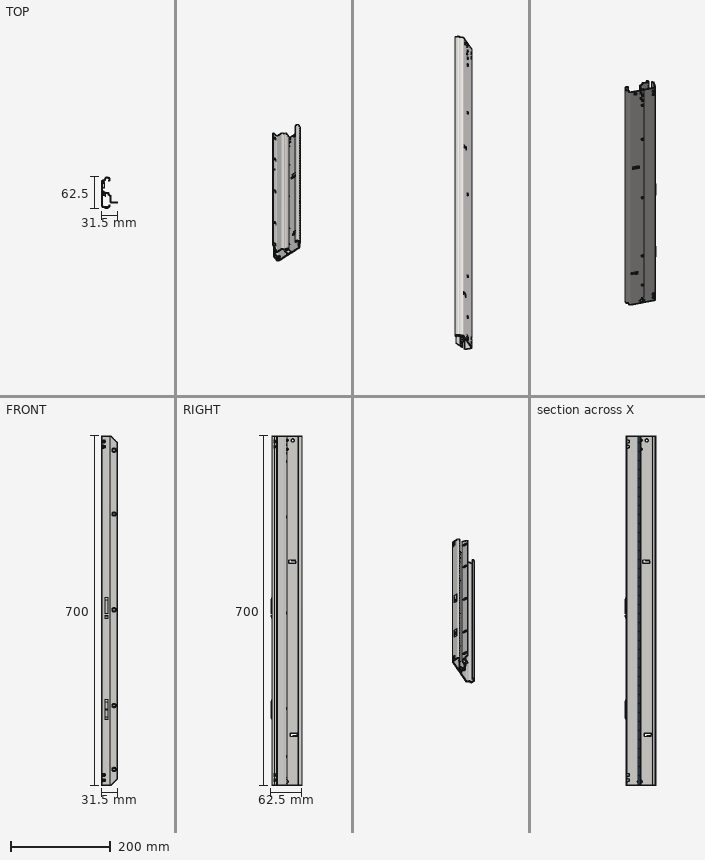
import cadquery as cq
import math

LENGTH = 700.0
HEIGHT = 62.5
WIDTH = 31.5
SHEET = 2.0
EXTRA = 1.0

PAD_HEIGHT = 1.8
RAIL_WIDTH = 16.8
FLOOR_LIP_TOP = 7.0
BEND = 2.0
JOG_BEND = 1.5
WEB_TOP = 57.4
TRACK_LEFT = 6.2
LIP_KINK_Y = 57.0
LIP_END = (14.5, 55.0)

FOOT_BOTTOM = 26.0
SHELF_TOP = 32.3
SHELF_RIGHT = 14.7
KINK_TOP = 28.0
KINK_BOTTOM = 24.7
WALL_RIGHT = 18.9
FLANGE_BOTTOM = 11.3
BRACKET_BEND = 0.5
FLANGE_CHAMFER = 12.5

FLANGE_HOLE_X = 24.8
FLANGE_HOLE_Z = [322.0, 194.0, 2.0, -190.0, -318.0]
FLANGE_HOLE_DIAMETER = 5.2
COUNTERSINK_DIAMETER = 8.8
COUNTERSINK_ANGLE = 90.0

SCREW_ROW_Y = 29.1
SCREW_DIAMETER = 5.3
PILOT_ROW_Y = 32.3
PILOT_DIAMETER = 4.5
OPEN_HOLE = (43.9, 341.7, 5.8)
SCREW_HOLES = [(SCREW_ROW_Y, z, SCREW_DIAMETER) for z in (299.7, 187.7, -4.3, -196.3, -292.3)]
PILOT_HOLES = [
    (PILOT_ROW_Y, 341.7, PILOT_DIAMETER),
    (SCREW_ROW_Y, 332.7, PILOT_DIAMETER),
    (PILOT_ROW_Y, 323.7, PILOT_DIAMETER),
    (SCREW_ROW_Y, 315.7, PILOT_DIAMETER),
]

SLOT_LENGTH = 13.5
SLOT_WIDTH = 6.0
TAB_LENGTH = 8.5
TAB_TIP_X = 6.0
UPPER_SLOT = (42.8, 98.8)
LOWER_SLOT = (45.7, -248.6)

WINDOW_SIDE = 8.0
WINDOW_CENTRE = (30.0, -342.5)
FLAP_TIP_X = 8.0
FOOT_NOTCH = 16.0

CORNER_SLOT_LENGTH = 10.0
CORNER_SLOT_WIDTH = 5.5
CORNER_SLOT_Z = [339.5, 329.0]

PAD_LEFT = 6.3
PAD_WIDTH = 6.3
PAD_RAMP = 5.0
PADS = [
    (26.4, -5.3, PAD_RAMP, 0.0),
    (-9.0, -15.0, 0.0, PAD_RAMP),
    (-178.2, -197.0, PAD_RAMP, 0.0),
    (-199.2, -218.0, 0.0, PAD_RAMP),
]


def turn_at(before, corner, after):
    """Signed turning angle of a path at a corner; positive turns left."""
    heading_in = math.atan2(corner[1] - before[1], corner[0] - before[0])
    heading_out = math.atan2(after[1] - corner[1], after[0] - corner[0])
    return math.remainder(heading_out - heading_in, 2 * math.pi)


def step_toward(start, target, distance):
    """Point at a distance from start on the line to target."""
    share = distance / math.dist(start, target)
    return (start[0] + share * (target[0] - start[0]), start[1] + share * (target[1] - start[1]))


def side_of_path(path, offset):
    """Corners of a path moved sideways; a positive offset moves it to the left."""
    side = []
    for i, point in enumerate(path):
        before = path[max(i - 1, 0)]
        after = path[min(i + 1, len(path) - 1)]
        turn = 0.0 if point in (before, after) else turn_at(before, point, after)
        start, end = (before, point) if before != point else (point, after)
        normal = math.atan2(end[1] - start[1], end[0] - start[0]) + math.pi / 2 + turn / 2
        reach = offset / math.cos(turn / 2)
        side.append((point[0] + reach * math.cos(normal), point[1] + reach * math.sin(normal)))
    return side


def bent_sheet(path, inside_radii):
    """Sheet of constant thickness along a centre path, bent at each inner corner, full length."""
    left = side_of_path(path, SHEET / 2)
    right = side_of_path(path, -SHEET / 2)
    left_radii = [0.0]
    right_radii = [0.0]
    for i, radius in enumerate(inside_radii, start=1):
        turns_left = turn_at(path[i - 1], path[i], path[i + 1]) > 0
        left_radii.append(radius if turns_left else radius + SHEET)
        right_radii.append(radius + SHEET if turns_left else radius)
    left_radii.append(0.0)
    right_radii.append(0.0)

    corners = right + left[::-1]
    radii = right_radii + left_radii[::-1]
    outline = cq.Workplane("XY", origin=(0, 0, -LENGTH / 2)).moveTo(*corners[0])
    for i in range(1, len(corners)):
        corner = corners[i]
        if radii[i] == 0:
            outline = outline.lineTo(*corner)
            continue
        before = corners[i - 1]
        after = corners[i + 1]
        tangent = radii[i] * math.tan(abs(turn_at(before, corner, after)) / 2)
        outline = outline.lineTo(*step_toward(corner, before, tangent))
        outline = outline.tangentArcPoint(step_toward(corner, after, tangent), relative=False)
    return outline.close().extrude(LENGTH)


def rail_sheet():
    half = SHEET / 2
    path = [
        (RAIL_WIDTH - half, FLOOR_LIP_TOP),
        (RAIL_WIDTH - half, PAD_HEIGHT + half),
        (half, PAD_HEIGHT + half),
        (half, WEB_TOP - half),
        (TRACK_LEFT + half, WEB_TOP - half),
        (TRACK_LEFT + half, HEIGHT - half),
        (RAIL_WIDTH - half, HEIGHT - half),
        (RAIL_WIDTH - half, LIP_KINK_Y),
        LIP_END,
    ]
    return bent_sheet(path, [BEND, BEND, BEND, JOG_BEND, JOG_BEND, BEND, BEND])


def web_block(y, z, size_y, size_z, depth):
    """Block centred at Y, Z that starts on the web's outer face and runs inward."""
    block = cq.Workplane("XY").box(depth, size_y, size_z, centered=(False, True, True))
    return block.translate((0, y, z))


def web_hole(y, z, diameter):
    return cq.Workplane("YZ", origin=(0, y, z)).circle(diameter / 2).extrude(SHEET)


def add_slot_with_tab(rail, centre, tab_side):
    """Slot with a tab along its upper (tab_side = 1) or lower (-1) edge, at its +Y end."""
    y, z = centre
    tab_y = y + (SLOT_LENGTH - TAB_LENGTH) / 2
    tab_z = z + tab_side * (SLOT_WIDTH - SHEET) / 2
    rail = rail.cut(web_block(y, z, SLOT_LENGTH, SLOT_WIDTH, SHEET))
    return rail.union(web_block(tab_y, tab_z, TAB_LENGTH, SHEET, TAB_TIP_X))


def add_window_with_flap(rail):
    """Window turned by 45 degrees, with a flap that leans inward behind it from its upper +Y edge."""
    y, z = WINDOW_CENTRE
    window = web_block(0, 0, WINDOW_SIDE, WINDOW_SIDE, SHEET)
    half = WINDOW_SIDE / 2
    flap_outline = [(0, half + SHEET), (0, half), (FLAP_TIP_X, -half), (FLAP_TIP_X, SHEET - half)]
    flap = cq.Workplane("XY").polyline(flap_outline).close().extrude(half, both=True)
    placed = [shape.rotate((0, 0, 0), (1, 0, 0), -45).translate((0, y, z)) for shape in (window, flap)]
    return rail.cut(placed[0]).union(placed[1])


def corner_slot(z):
    """Slot across the bend between web and floor, square to the middle of the bend."""
    bend_centre = SHEET + BEND
    origin = (bend_centre, PAD_HEIGHT + bend_centre, z)
    plane = cq.Plane(origin=origin, xDir=(0, 0, 1), normal=(-1, -1, 0))
    slot = cq.Workplane(plane).slot2D(CORNER_SLOT_LENGTH, CORNER_SLOT_WIDTH, 90)
    return slot.extrude(bend_centre + EXTRA)


def pad(upper, lower, upper_ramp, lower_ramp):
    """Raised pad under the floor; a ramp of zero length leaves a square end."""
    root = PAD_HEIGHT + SHEET / 2
    outline = cq.Workplane("YZ", origin=(PAD_LEFT, 0, 0)).moveTo(root, upper)
    if upper_ramp > 0:
        outline = outline.lineTo(PAD_HEIGHT, upper)
    outline = outline.lineTo(0, upper - upper_ramp).lineTo(0, lower + lower_ramp)
    if lower_ramp > 0:
        outline = outline.lineTo(PAD_HEIGHT, lower)
    return outline.lineTo(root, lower).close().extrude(PAD_WIDTH)


def make_rail():
    rail = rail_sheet()
    for hole in [OPEN_HOLE, *SCREW_HOLES, *PILOT_HOLES]:
        rail = rail.cut(web_hole(*hole))
    rail = add_slot_with_tab(rail, UPPER_SLOT, 1)
    rail = add_slot_with_tab(rail, LOWER_SLOT, -1)
    rail = add_window_with_flap(rail)
    for z in CORNER_SLOT_Z:
        rail = rail.cut(corner_slot(z)).cut(corner_slot(-z))
    for sizes in PADS:
        rail = rail.union(pad(*sizes))
    return rail


def make_bracket():
    half = SHEET / 2
    path = [
        (SHEET + half, FOOT_BOTTOM),
        (SHEET + half, SHELF_TOP - half),
        (SHELF_RIGHT - half, SHELF_TOP - half),
        (SHELF_RIGHT - half, KINK_TOP),
        (WALL_RIGHT - half, KINK_BOTTOM),
        (WALL_RIGHT - half, FLANGE_BOTTOM + half),
        (WIDTH, FLANGE_BOTTOM + half),
    ]
    bracket = bent_sheet(path, [BRACKET_BEND] * (len(path) - 2))

    bracket = bracket.edges("|Y").edges(">X").chamfer(FLANGE_CHAMFER)

    holes = cq.Workplane("XZ", origin=(0, FLANGE_BOTTOM, 0)).add(bracket)
    holes = holes.pushPoints([(FLANGE_HOLE_X, z) for z in FLANGE_HOLE_Z])
    bracket = holes.cskHole(FLANGE_HOLE_DIAMETER, COUNTERSINK_DIAMETER, COUNTERSINK_ANGLE, 2 * SHEET)

    notch_depth = FLAP_TIP_X + EXTRA
    notch_height = SHELF_TOP - FOOT_BOTTOM + 2 * EXTRA
    notch_y = (SHELF_TOP + FOOT_BOTTOM) / 2
    notch_z = (FOOT_NOTCH - LENGTH) / 2
    notch = web_block(notch_y, notch_z, notch_height, FOOT_NOTCH, notch_depth)
    return bracket.cut(notch)


rail = make_rail()
bracket = make_bracket()
result = cq.Compound.makeCompound([rail.val(), bracket.val()])